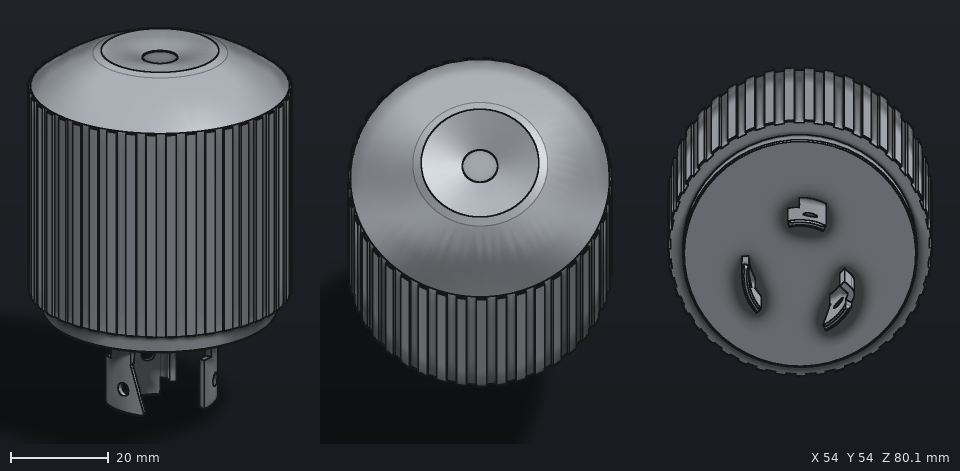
import cadquery as cq
import math

total_height = 80.1
rim_height = 0.5
top_z = 57.05
rim_z = top_z - rim_height
grip_top_z = 49.35
grip_bottom_z = 4.6
shoulder_z = -8.1
hole_z = -13.9
short_tip_z = -19.15
long_tip_z = top_z - total_height

grip_radius = 26.4
flange_radius = 23.95
flange_chamfer = 0.3
dome_end_radius = 13.8
dome_sphere_radius = 40.95
dish_radius = 12.0
dish_floor_radius = 3.6
dish_depth = 1.45
dish_floor_step = 0.25

ridge_count = 41
first_ridge_angle = -90
ridge_tip_radius = 27.0
ridge_width = 2.1
ridge_chamfer = 0.25

blade_outer_radius = 11.85
blade_thickness = 1.4
blade_inner_radius = blade_outer_radius - blade_thickness
blade_root_z = 0.8
tip_chamfer = 0.4
tip_corner_radius = 0.8
stem_half_angle = 13.7
shoulder_angle = 11.7
long_flare_angle = 8.6
short_flare_angle = 14.0
hole_diameter = 2.8

long_blade_angle = 177.6
flared_blade_angle = -59.7
plain_blade_angle = 59.5

flared_hole_angle = 4.3
plain_hole_angle = -2.8

lip_face_y = 5.5
lip_end_x = -7.3
bend_outer_radius = 2.0


def polar(radius, angle):
    """Point in the XY plane at a radius and an angle in degrees."""
    return (radius * math.cos(math.radians(angle)), radius * math.sin(math.radians(angle)))


def make_envelope():
    """Body as turned, with the grip still at the full ridge radius."""
    chord_mid_radius = (grip_radius + dome_end_radius) / 2
    centre_z = rim_z - math.sqrt(dome_sphere_radius**2 - dome_end_radius**2)
    dome_mid_z = centre_z + math.sqrt(dome_sphere_radius**2 - chord_mid_radius**2)
    profile = (
        cq.Workplane("XZ")
        .moveTo(0, 0)
        .lineTo(flange_radius - flange_chamfer, 0)
        .lineTo(flange_radius, flange_chamfer)
        .lineTo(flange_radius, grip_bottom_z)
        .lineTo(ridge_tip_radius - ridge_chamfer, grip_bottom_z)
        .lineTo(ridge_tip_radius, grip_bottom_z + ridge_chamfer)
        .lineTo(ridge_tip_radius, grip_top_z - ridge_chamfer)
        .lineTo(ridge_tip_radius - ridge_chamfer, grip_top_z)
        .lineTo(grip_radius, grip_top_z)
        .threePointArc((chord_mid_radius, dome_mid_z), (dome_end_radius, rim_z))
        .lineTo(dish_radius, top_z)
        .lineTo(dish_floor_radius, top_z - dish_depth)
        .lineTo(dish_floor_radius, top_z - dish_depth - dish_floor_step)
        .lineTo(0, top_z - dish_depth - dish_floor_step)
        .close()
    )
    return profile.revolve(360, (0, 0, 0), (0, 1, 0))


def make_ridged_bar():
    """Straight bar with evenly spaced ridges, the first one facing -Y."""
    pitch = 360 / ridge_count
    tip_half_angle = math.degrees(math.asin(ridge_width / 2 / ridge_tip_radius))
    root_half_angle = math.degrees(math.asin(ridge_width / 2 / grip_radius))
    outline = cq.Workplane("XY").moveTo(*polar(grip_radius, first_ridge_angle - root_half_angle))
    for index in range(ridge_count):
        middle = first_ridge_angle + index * pitch
        outline = (
            outline.lineTo(*polar(ridge_tip_radius, middle - tip_half_angle))
            .threePointArc(
                polar(ridge_tip_radius, middle),
                polar(ridge_tip_radius, middle + tip_half_angle),
            )
            .lineTo(*polar(grip_radius, middle + root_half_angle))
            .threePointArc(
                polar(grip_radius, middle + pitch / 2),
                polar(grip_radius, middle + pitch - root_half_angle),
            )
        )
    return outline.close().extrude(top_z)


def place(solid, angle):
    """Turn a solid about the body axis."""
    return solid.rotate((0, 0, 0), (0, 0, 1), angle)


def ring_sector(section, low_angle, high_angle):
    """Revolve a closed (radius, z) outline from one angle about Z to another."""
    sweep = high_angle - low_angle
    sector = cq.Workplane("XZ").polyline(section).close().revolve(sweep, (0, 0, 0), (0, 1, 0))
    return place(sector, low_angle)


def radial_cutter(outline, angle):
    """Prism running outward along the given angle; outline points are (tangential, z)."""
    cutter = cq.Workplane("YZ").polyline(outline).close().extrude(2 * blade_outer_radius)
    return place(cutter, angle)


def stem_side_cutter(side):
    """Clears everything above the shoulder height beside one edge of the stem."""
    clear_z = 2 * blade_root_z
    reach = side * blade_outer_radius
    outline = [(0, shoulder_z), (0, clear_z), (reach, clear_z), (reach, shoulder_z)]
    return radial_cutter(outline, side * stem_half_angle)


def tip_corner_cutter(tip_z, inward, end_angle):
    """Rounds the tip corner at one end; inward is the tangential sign into the blade."""
    diagonal = tip_corner_radius * (1 - math.sqrt(0.5))
    cutter = (
        cq.Workplane("YZ")
        .moveTo(0, tip_z)
        .lineTo(0, tip_z + tip_corner_radius)
        .threePointArc(
            (inward * diagonal, tip_z + diagonal), (inward * tip_corner_radius, tip_z)
        )
        .close()
        .extrude(2 * blade_outer_radius)
    )
    return place(cutter, end_angle)


def make_blade(tip_z, shoulder, flare, hole_angle):
    """Blade centred on +X: shoulder step on its -Y side, tapered flare on its +Y side."""
    low = -stem_half_angle - shoulder
    high = stem_half_angle + flare
    wall = [
        (blade_inner_radius, blade_root_z),
        (blade_outer_radius, blade_root_z),
        (blade_outer_radius, tip_z + tip_chamfer),
        (blade_outer_radius - tip_chamfer, tip_z),
        (blade_inner_radius + tip_chamfer, tip_z),
        (blade_inner_radius, tip_z + tip_chamfer),
    ]
    blade = ring_sector(wall, low, high)
    blade = blade.cut(tip_corner_cutter(tip_z, 1, low))
    blade = blade.cut(tip_corner_cutter(tip_z, -1, high))
    if shoulder:
        blade = blade.cut(stem_side_cutter(-1))
    if flare:
        flare_width = blade_outer_radius * math.tan(math.radians(flare))
        flare_end_z = tip_z + tip_corner_radius
        beside_flare = [(-flare_width, shoulder_z), (0, flare_end_z), (0, shoulder_z)]
        blade = blade.cut(stem_side_cutter(1))
        blade = blade.cut(radial_cutter(beside_flare, high))

    hole = (
        cq.Workplane("YZ")
        .center(0, hole_z)
        .circle(hole_diameter / 2)
        .extrude(2 * blade_outer_radius)
    )
    return blade.cut(place(hole, hole_angle))


def make_lip(stem_edge_angle):
    """Hook bent inward from the +Y edge of the long blade."""
    bend_inner_radius = bend_outer_radius - blade_thickness
    bend_y = lip_face_y - bend_outer_radius
    bend_distance = blade_outer_radius - bend_outer_radius
    bend_x = -math.sqrt(bend_distance**2 - bend_y**2)
    bend_angle = math.degrees(math.atan2(bend_y, bend_x))
    bend_mid_angle = (bend_angle + 90) / 2

    def on_bend(radius, angle):
        x, y = polar(radius, angle)
        return (bend_x + x, bend_y + y)

    wall = [
        (blade_inner_radius, short_tip_z),
        (blade_outer_radius, short_tip_z),
        (blade_outer_radius, shoulder_z),
        (blade_inner_radius, shoulder_z),
    ]
    hook = (
        cq.Workplane("XY", origin=(0, 0, short_tip_z))
        .moveTo(*on_bend(bend_outer_radius, bend_angle))
        .threePointArc(
            on_bend(bend_outer_radius, bend_mid_angle), on_bend(bend_outer_radius, 90)
        )
        .lineTo(lip_end_x, lip_face_y)
        .lineTo(lip_end_x, lip_face_y - blade_thickness)
        .lineTo(*on_bend(bend_inner_radius, 90))
        .threePointArc(
            on_bend(bend_inner_radius, bend_mid_angle), on_bend(bend_inner_radius, bend_angle)
        )
        .close()
        .extrude(shoulder_z - short_tip_z)
    )
    return ring_sector(wall, bend_angle, stem_edge_angle).union(hook)


long_blade = make_blade(long_tip_z, 0, long_flare_angle, 0)
flared_blade = make_blade(short_tip_z, shoulder_angle, short_flare_angle, flared_hole_angle)
plain_blade = make_blade(short_tip_z, shoulder_angle, 0, plain_hole_angle)
lip = make_lip(long_blade_angle - stem_half_angle)

result = (
    make_envelope()
    .intersect(make_ridged_bar())
    .union(place(long_blade, long_blade_angle))
    .union(lip)
    .union(place(flared_blade, flared_blade_angle))
    .union(place(plain_blade, plain_blade_angle))
)